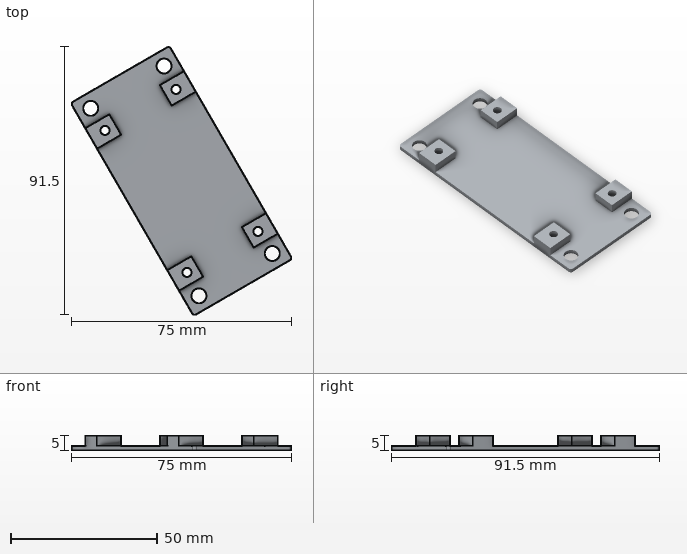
import cadquery as cq

plate_length = 84.0
plate_width = 39.0
plate_thickness = 1.6
corner_radius = 1.0
part_angle = -60

mount_hole_diameter = 5.0
mount_hole_inset = 5.0
mount_spacing_x = plate_length - 2 * mount_hole_inset
mount_spacing_y = plate_width - 2 * mount_hole_inset

total_height = 5.0
block_length = 8.05
block_width = 9.5
block_spacing_x = 56.0
block_spacing_y = plate_width - block_width
block_hole_diameter = 3.0
block_hole_spacing_y = 28.0


def at_four_corners(workplane, spacing_x, spacing_y):
    """Place points at the corners of a rectangle centred on the plate."""
    return workplane.rarray(spacing_x, spacing_y, 2, 2)


def through_holes(spacing_x, spacing_y, diameter):
    """Four cylinders that cut through the full height of the part."""
    points = at_four_corners(cq.Workplane("XY"), spacing_x, spacing_y)
    return points.circle(diameter / 2).extrude(total_height)


plate = (
    cq.Workplane("XY")
    .rect(plate_length, plate_width)
    .extrude(plate_thickness)
    .edges("|Z")
    .fillet(corner_radius)
)

blocks = (
    at_four_corners(cq.Workplane("XY"), block_spacing_x, block_spacing_y)
    .rect(block_length, block_width)
    .extrude(total_height)
)

mount_holes = through_holes(mount_spacing_x, mount_spacing_y, mount_hole_diameter)
block_holes = through_holes(block_spacing_x, block_hole_spacing_y, block_hole_diameter)

result = (
    plate.union(blocks)
    .cut(mount_holes)
    .cut(block_holes)
    .rotate((0, 0, 0), (0, 0, 1), part_angle)
)